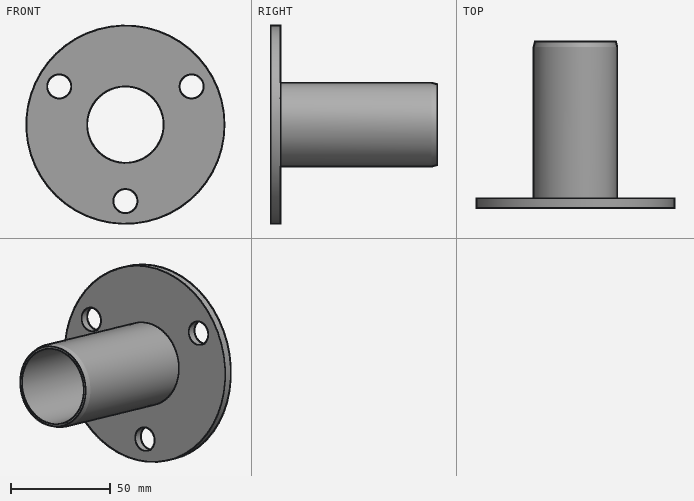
import cadquery as cq

flange_diameter = 100.0
flange_thickness = 5.0

total_length = 84.0
tube_diameter = 42.4
bore_diameter = 38.4
taper_length = 3.0
taper_depth = 0.8

hole_count = 3
hole_diameter = 12.0
hole_circle_radius = 38.5
first_hole_angle = -90.0

tube_radius = tube_diameter / 2
flange_radius = flange_diameter / 2
bore_radius = bore_diameter / 2


def make_body():
    """Revolve the half section of flange and tube about the Y axis."""
    return (
        cq.Workplane("XY")
        .moveTo(bore_radius, 0)
        .lineTo(flange_radius, 0)
        .lineTo(flange_radius, flange_thickness)
        .lineTo(tube_radius, flange_thickness)
        .lineTo(tube_radius, total_length - taper_length)
        .lineTo(tube_radius - taper_depth, total_length)
        .lineTo(bore_radius, total_length)
        .close()
        .revolve(360, (0, 0, 0), (0, 1, 0))
    )


def make_mounting_holes():
    """Cylinders through the flange, one of them straight below the axis."""
    return (
        cq.Workplane("XZ")
        .polarArray(hole_circle_radius, first_hole_angle, 360, hole_count)
        .circle(hole_diameter / 2)
        .extrude(-flange_thickness)
    )


result = make_body().cut(make_mounting_holes())